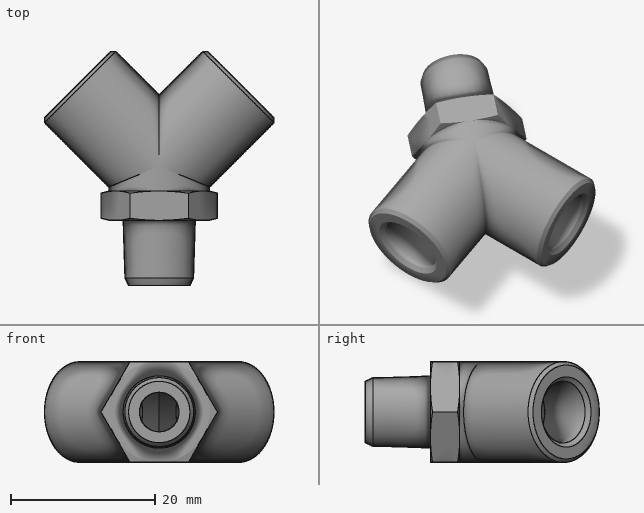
import cadquery as cq
import math


body_diameter = 14.0
body_radius = body_diameter / 2
arm_angle = 45.0
arm_length = 16.0
arm_chamfer = 0.5
socket_diameter = 8.57
socket_depth = 8.47
socket_chamfer = 0.6
passage_diameter = 8.5

hex_top = -3.45
hex_height = 4.05
hex_bottom = hex_top - hex_height
hex_corner_radius = body_radius / math.cos(math.pi / 6)
hex_bevel_angle = 15.0
hex_bevel_drop = (hex_corner_radius - body_radius) * math.tan(math.radians(hex_bevel_angle))

stem_end = -16.55
stem_root_diameter = 10.03
stem_taper = 1 / 16
stem_tip_length = 1.07
stem_tip_diameter = 8.5
stem_bore_diameter = 5.5


def revolve_about_y(points):
    """Revolve a closed (radius, y) outline about the Y axis."""
    return cq.Workplane("XY").polyline(points).close().revolve(360, (0, 0, 0), (0, 1, 0))


def cylinder_along_y(diameter, start, end):
    radius = diameter / 2
    return revolve_about_y([(0, start), (radius, start), (radius, end), (0, end)])


def on_both_arms(shape):
    """Turn a shape built along +Y onto both arm axes."""
    pair = [shape.rotate((0, 0, 0), (0, 0, 1), angle) for angle in (arm_angle, -arm_angle)]
    return pair[0].union(pair[1])


def make_arm():
    return revolve_about_y([
        (0, 0),
        (body_radius, 0),
        (body_radius, arm_length - arm_chamfer),
        (body_radius - arm_chamfer, arm_length),
        (0, arm_length),
    ])


def make_arm_bore():
    socket_radius = socket_diameter / 2
    passage_radius = passage_diameter / 2
    socket_floor = arm_length - socket_depth
    return revolve_about_y([
        (0, 0),
        (passage_radius, 0),
        (passage_radius, socket_floor),
        (socket_radius, socket_floor),
        (socket_radius, arm_length - socket_chamfer),
        (socket_radius + socket_chamfer, arm_length),
        (0, arm_length),
    ])


def make_hexagon():
    prism = (
        cq.Workplane("XZ", origin=(0, hex_top, 0))
        .polygon(6, 2 * hex_corner_radius)
        .extrude(hex_height)
    )
    bevel_envelope = revolve_about_y([
        (0, hex_bottom),
        (body_radius, hex_bottom),
        (hex_corner_radius, hex_bottom + hex_bevel_drop),
        (hex_corner_radius, hex_top - hex_bevel_drop),
        (body_radius, hex_top),
        (0, hex_top),
    ])
    return prism.intersect(bevel_envelope)


def make_stem():
    tip_start = stem_end + stem_tip_length
    taper_end_diameter = stem_root_diameter - stem_taper * (hex_bottom - tip_start)
    return revolve_about_y([
        (0, stem_end),
        (stem_tip_diameter / 2, stem_end),
        (taper_end_diameter / 2, tip_start),
        (stem_root_diameter / 2, hex_bottom),
        (0, hex_bottom),
    ])


collar = cylinder_along_y(body_diameter, hex_top, 0)
solid_body = on_both_arms(make_arm()).union(collar).union(make_hexagon()).union(make_stem())
stem_bore = cylinder_along_y(stem_bore_diameter, stem_end, 0)
result = solid_body.cut(on_both_arms(make_arm_bore())).cut(stem_bore)